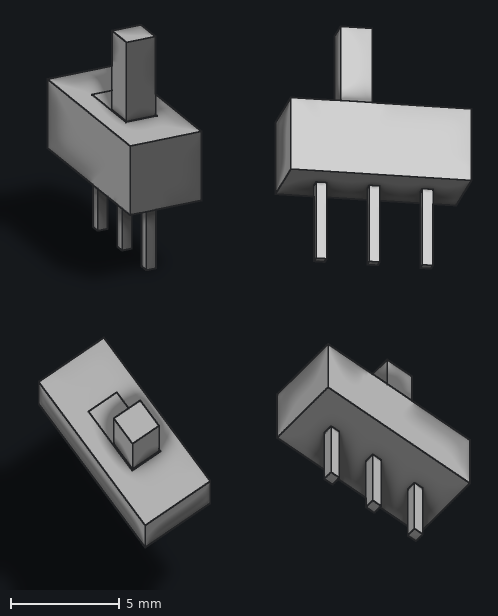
import cadquery as cq

total_height = 11.2
housing_length = 8.5
housing_width = 3.7
housing_height = 3.5

lever_side = 1.5
lever_height = 4.0
lever_clearance = 0.05
plate_length = 3.5
plate_width = lever_side + 2 * lever_clearance
plate_depth = 0.5
lever_x = plate_length / 2 - lever_clearance - lever_side / 2

pin_count = 3
pin_side = 0.5
pin_pitch = 2.5
pin_length = total_height - housing_height - lever_height


def make_block(length, width, height, x, bottom_z):
    """Rectangular block centred on the X axis line, rising from bottom_z."""
    block = cq.Workplane("XY").box(length, width, height, centered=(True, True, False))
    return block.translate((x, 0, bottom_z))


def make_plate():
    """Slider plate, also the shape of the recess it fills."""
    return make_block(plate_length, plate_width, plate_depth, 0, housing_height - plate_depth)


def make_housing():
    """Rectangular housing with a recess for the slider plate."""
    block = make_block(housing_length, housing_width, housing_height, 0, 0)
    return block.cut(make_plate())


def make_slider():
    """Plate with the square lever near its +X end."""
    lever = make_block(lever_side, lever_side, lever_height, lever_x, housing_height)
    return make_plate().union(lever)


def make_pin(x):
    """Square pin hanging from the underside of the housing."""
    return make_block(pin_side, pin_side, pin_length, x, -pin_length)


housing = make_housing()
slider = make_slider()
pins = []
for index in range(pin_count):
    pin_x = (index - (pin_count - 1) / 2) * pin_pitch
    pins.append(make_pin(pin_x).val())

result = cq.Compound.makeCompound([housing.val(), slider.val(), *pins])